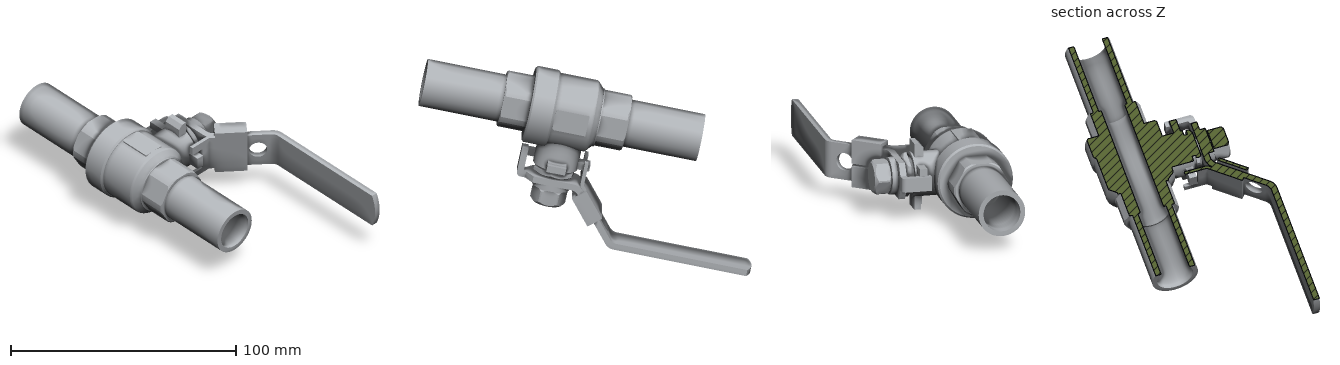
import cadquery as cq
import math


overall_length = 160.2
overall_depth = 73.7

pipe_start = -65.2
pipe_end = 60.5
pipe_diameter = 21.3
pipe_bore = 16.8
valve_bore = 15.0
hex_flats = 23.7
hex_corner_diameter = 25.6
hex_chamfer = 0.6
hex_start = -29.5
hex_end = 27.0
flange_start = -17.3
flange_end = -6.2
flange_diameter = 34.5
flange_edge = 0.8
body_diameter = 32.4
body_taper_start = 10.7
body_taper_round = 1.3
body_end = 14.1
body_end_diameter = 26.3
body_collar_end = 14.6
pad_start = -5.8
pad_end = 9.3
pad_width = 9.6
pad_corner = 1.1

neck_diameter = 20.0
neck_top = 25.6
gland_collar_diameter = 15.9
gland_bottom = 27.0
gland_top = 29.6
gland_corner_diameter = 20.0
gland_chamfer_height = 1.5
gland_chamfer_depth = 2.0
gland_turn = 38
stem_diameter = 10.0
washer_diameter = 16.8
washer_top = 35.7
nut_bottom = 36.0
nut_top = 43.5
nut_flats = 14.1
nut_corner_diameter = 15.9
nut_top_chamfer = 1.5
nut_bottom_chamfer = 0.8
stop_top = 24.8
stop_width = 8.5
side_stop_reach = 15.4
upper_stop_bottom = 20.7
upper_stop_chamfer = 2.0
lower_stop_bottom = 21.3
lower_stop_step_start = 13.0
lower_stop_step = 0.5
end_stop_bottom = 21.5
lever_stop_reach = 14.9
lever_stop_z = (3.2, 6.7)
lock_stop_reach = 15.2
lock_stop_width = 5.8

lever_thickness = 2.9
lever_width = 16.8
lever_plate_y = 31.7
lever_grip_y = overall_depth - flange_diameter / 2 - lever_thickness / 2
lever_end = pipe_start + overall_length
lever_end_bulge = 2.0
lever_slope = math.radians(50)
lever_knee_x = 11.5
lever_knee_radii = (3.8, 6.7)
lever_grip_radii = (4.2, 5.5)
lever_tab_x = -14.7
lever_tab_bottom = 19.7
lever_tab_width = 6.4
lever_tab_radii = (0.6, 2.0)
lever_taper_start = -12.2
lever_taper_end = -8.8
lever_hole_diameter = 8.0
lever_hole_along = 22.1

lock_wall = 1.6
lock_start = 2.7
lock_length = 14.5
lock_height = 7.4
lock_width = 22.0
lock_slot = 1.3
lock_z = 0.6
tongue_x = 13.1
tongue_bottom = 19.5
tongue_width = 17.3
tongue_radii = (0.5, 2.1)
tongue_notch_width = 10.5
tongue_notch_top = 25.8


def box(x_range, y_range, z_range):
    """Block between two limits along each axis."""
    size = [high - low for low, high in (x_range, y_range, z_range)]
    corner = (x_range[0], y_range[0], z_range[0])
    return cq.Workplane("XY").box(*size, centered=False).translate(corner)


def pipe_cylinder(start, end, diameter):
    """Cylinder along the pipe axis."""
    return cq.Workplane("YZ", origin=(start, 0, 0)).circle(diameter / 2).extrude(end - start)


def stem_cylinder(bottom, top, diameter):
    """Cylinder along the stem axis."""
    return cq.Workplane("XZ", origin=(0, bottom, 0)).circle(diameter / 2).extrude(bottom - top)


def hex_circle(flats):
    """Diameter through the corners of a hexagon with the given width across flats."""
    return flats / math.cos(math.pi / 6)


def bent_strip(path, thickness, width, radii):
    """Flat strip bent along a path of XY points, with inside and outside radii for each bend."""
    angles = [math.atan2(b[1] - a[1], b[0] - a[0]) for a, b in zip(path, path[1:])]
    before = [angles[0]] + angles
    after = angles + [angles[-1]]

    def offset(distance):
        points = []
        for (x, y), first, second in zip(path, before, after):
            turn = (second - first) / 2
            normal = (first + second) / 2 + math.pi / 2
            reach = distance / math.cos(turn)
            points.append((x + reach * math.cos(normal), y + reach * math.sin(normal)))
        return points

    left = offset(thickness / 2)
    right = offset(-thickness / 2)
    strip = cq.Workplane("XY").polyline(left + right[::-1]).close().extrude(width / 2, both=True)
    for bend, (inner_radius, outer_radius) in enumerate(radii, start=1):
        turns_left = after[bend] > before[bend]
        inner, outer = (left, right) if turns_left else (right, left)
        for (x, y), bend_radius in ((inner[bend], inner_radius), (outer[bend], outer_radius)):
            corner = cq.selectors.NearestToPointSelector((x, y, 0))
            strip = strip.edges("|Z").edges(corner).fillet(bend_radius)
    return strip


def slope_point(along, across):
    """XY point placed relative to the sloping part of the lever."""
    x = lever_knee_x + along * math.cos(lever_slope) - across * math.sin(lever_slope)
    y = lever_plate_y + along * math.sin(lever_slope) + across * math.cos(lever_slope)
    return (x, y)


def make_hexagons():
    """Hexagon bar whose two ends stand clear of the body, with the corners turned down."""
    hexagon = cq.Workplane("YZ", origin=(hex_start, 0, 0)).polygon(6, hex_circle(hex_flats))
    hexagon = hexagon.extrude(hex_end - hex_start)
    limit = pipe_cylinder(hex_start, hex_end, hex_corner_diameter).edges().chamfer(hex_chamfer)
    return hexagon.intersect(limit)


def make_body():
    """Flanged, tapered housing with a flat pad on its +Z and -Z sides."""
    flange = pipe_cylinder(flange_start, flange_end, flange_diameter).edges().chamfer(flange_edge)
    taper_depth = (body_diameter - body_end_diameter) / 2
    housing = pipe_cylinder(flange_start, body_end, body_diameter)
    housing = housing.faces(">X").chamfer(taper_depth, body_end - body_taper_start)
    taper_edge = cq.selectors.NearestToPointSelector((body_taper_start, 0, body_diameter / 2))
    housing = housing.edges("%CIRCLE").edges(taper_edge).fillet(body_taper_round)
    collar = pipe_cylinder(body_end, body_collar_end, body_end_diameter)
    half_pad = pad_width / 2
    pad_height = body_diameter / 2
    pads = box((pad_start, pad_end), (-half_pad, half_pad), (-pad_height, pad_height))
    pads = pads.edges("|Z and <X").fillet(pad_corner)
    return flange.union(housing).union(collar).union(pads)


def make_stem():
    """Neck, gland nut, stem, washer and lever nut stacked along Y."""
    neck = stem_cylinder(0, neck_top, neck_diameter)
    collar = stem_cylinder(neck_top, gland_bottom, gland_collar_diameter)
    gland = cq.Workplane("XZ", origin=(0, gland_bottom, 0)).polygon(6, gland_corner_diameter)
    gland = gland.extrude(gland_bottom - gland_top).rotate((0, 0, 0), (0, 1, 0), gland_turn)
    gland_limit = stem_cylinder(gland_bottom, gland_top, gland_corner_diameter)
    gland = gland.intersect(gland_limit.faces(">Y").chamfer(gland_chamfer_height, gland_chamfer_depth))
    stem = stem_cylinder(gland_top, nut_bottom, stem_diameter)
    washer = stem_cylinder(lever_plate_y + lever_thickness / 2, washer_top, washer_diameter)
    nut = cq.Workplane("XZ", origin=(0, nut_bottom, 0)).polygon(6, hex_circle(nut_flats))
    nut = nut.extrude(nut_bottom - nut_top)
    nut_limit = stem_cylinder(nut_bottom, nut_top, nut_corner_diameter)
    nut_limit = nut_limit.faces(">Y").chamfer(nut_top_chamfer).faces("<Y").chamfer(nut_bottom_chamfer)
    return neck.union(collar).union(gland).union(stem).union(washer).union(nut.intersect(nut_limit))


def make_stops():
    """Four lugs standing out from the neck."""
    half = stop_width / 2
    upper = box((-half, half), (upper_stop_bottom, stop_top), (0, side_stop_reach))
    upper = upper.edges("|X and >Z and <Y").chamfer(upper_stop_chamfer)
    lower = box((-half, half), (lower_stop_bottom, stop_top), (-side_stop_reach, 0))
    step_top = lower_stop_bottom + lower_stop_step
    lower = lower.cut(
        box((-half, half), (lower_stop_bottom, step_top), (-side_stop_reach, -lower_stop_step_start))
    )
    lever_stop = box((-lever_stop_reach, 0), (end_stop_bottom, stop_top), lever_stop_z)
    half_lock_stop = lock_stop_width / 2
    lock_stop = box((0, lock_stop_reach), (end_stop_bottom, stop_top), (-half_lock_stop, half_lock_stop))
    return upper.union(lower).union(lever_stop).union(lock_stop)


def make_lever():
    """Bent strip with a narrow stop tab, a rounded grip end and a hole in the slope."""
    grip_x = lever_knee_x + (lever_grip_y - lever_plate_y) / math.tan(lever_slope)
    path = [
        (lever_tab_x, lever_tab_bottom),
        (lever_tab_x, lever_plate_y),
        (lever_knee_x, lever_plate_y),
        (grip_x, lever_grip_y),
        (lever_end, lever_grip_y),
    ]
    radii = [lever_tab_radii, lever_knee_radii, lever_grip_radii]
    strip = bent_strip(path, lever_thickness, lever_width, radii)

    half = lever_width / 2
    half_tab = lever_tab_width / 2
    tab_start = lever_tab_x - lever_thickness
    plan = (
        cq.Workplane("XZ")
        .moveTo(tab_start, -half_tab)
        .lineTo(lever_taper_start, -half_tab)
        .lineTo(lever_taper_end, -half)
        .lineTo(lever_end - lever_end_bulge, -half)
        .threePointArc((lever_end, 0), (lever_end - lever_end_bulge, half))
        .lineTo(lever_taper_end, half)
        .lineTo(lever_taper_start, half_tab)
        .lineTo(tab_start, half_tab)
        .close()
        .extrude(-(lever_grip_y + lever_thickness))
    )
    hole_plane = cq.Plane(
        origin=(*slope_point(lever_hole_along, 0), 0),
        xDir=(0, 0, 1),
        normal=(-math.sin(lever_slope), math.cos(lever_slope), 0),
    )
    hole = cq.Workplane(hole_plane).circle(lever_hole_diameter / 2).extrude(lever_thickness, both=True)
    return strip.intersect(plan).cut(hole)


def make_lock():
    """Split sleeve around the lever, with a notched tongue over the neck stop."""
    back = -lever_thickness / 2 - lock_wall
    lock_end = lock_start + lock_length
    half_lock = lock_width / 2
    front = back + lock_height
    sleeve = box((lock_start, lock_end), (back, front), (lock_z - half_lock, lock_z + half_lock))
    inside = half_lock - lock_wall
    cavity = box(
        (lock_start, lock_end), (back + lock_wall, front - lock_wall), (lock_z - inside, lock_z + inside)
    )
    split = box((lock_start, lock_end), (front - lock_wall, front), (-lock_slot / 2, lock_slot / 2))
    sleeve = sleeve.cut(cavity).cut(split)
    sleeve = sleeve.rotate((0, 0, 0), (0, 0, 1), math.degrees(lever_slope))
    sleeve = sleeve.translate((lever_knee_x, lever_plate_y, 0))

    tongue_start = slope_point(lock_start + lock_wall, back + lock_wall / 2)
    bend_y = tongue_start[1] - (tongue_start[0] - tongue_x) * math.tan(lever_slope)
    path = [(tongue_x, tongue_bottom), (tongue_x, bend_y), tongue_start]
    tongue = bent_strip(path, lock_wall, tongue_width, [tongue_radii]).translate((0, 0, lock_z))
    half_notch = tongue_notch_width / 2
    notch = box(
        (tongue_x - lock_wall, tongue_x + lock_wall),
        (tongue_bottom, tongue_notch_top),
        (-half_notch, half_notch),
    )
    return sleeve.union(tongue.cut(notch))


result = pipe_cylinder(pipe_start, pipe_end, pipe_diameter).union(make_hexagons())
result = result.union(make_body()).union(make_stem()).union(make_stops())
result = result.union(make_lever()).union(make_lock())

result = result.cut(pipe_cylinder(pipe_start, pipe_end, valve_bore))
result = result.cut(pipe_cylinder(pipe_start, hex_start, pipe_bore))
result = result.cut(pipe_cylinder(hex_end, pipe_end, pipe_bore))